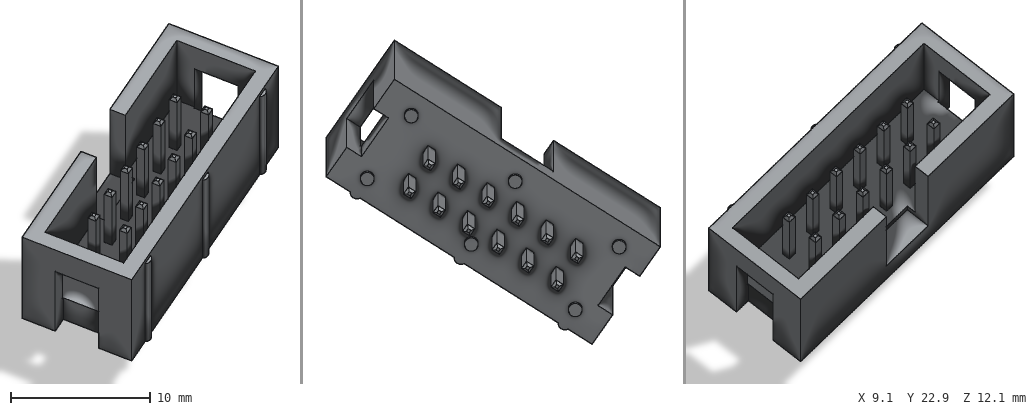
import cadquery as cq


body_width = 8.85
body_length = 22.9
body_height = 8.85
side_wall = 1.25
end_wall = 1.17
floor_top = 2.35

window_width = 3.5
window_height = 6.5
window_notch = 0.1

key_width = 4.5
key_depth = 2.0
key_bottom = 1.85

pin_rows = 6
pin_columns = 2
pin_pitch = 2.54
pin_size = 0.64
pin_top = 7.75
pin_bottom = -3.25
pin_chamfer = 0.2

round_diameter = 1.0
foot_height = 0.3
foot_offset_x = 2.85
round_spacing_y = 8.95
rib_projection = 0.25
rib_height = 8.5

CENTRED_BASE = (True, True, False)
ROUND_ROWS_Y = [-round_spacing_y, 0, round_spacing_y]


def make_housing():
    """Open-topped box with a solid floor."""
    housing = cq.Workplane("XY").box(body_width, body_length, body_height, centered=CENTRED_BASE)
    cavity = (
        cq.Workplane("XY", origin=(0, 0, floor_top))
        .box(
            body_width - 2 * side_wall,
            body_length - 2 * end_wall,
            body_height - floor_top,
            centered=CENTRED_BASE,
        )
    )
    return housing.cut(cavity)


def make_end_window(side):
    """Cutter for the window in the end wall on the given side of Y (-1 or +1)."""
    depth = end_wall + window_notch
    center_y = side * (body_length - depth) / 2
    return (
        cq.Workplane("XY", origin=(0, center_y, 0))
        .box(window_width, depth, window_height, centered=CENTRED_BASE)
    )


def make_key_slot():
    """Cutter for the key slot, open at the top and on the -X face."""
    return (
        cq.Workplane("XY", origin=(-body_width / 2, 0, key_bottom))
        .box(key_depth, key_width, body_height - key_bottom, centered=(False, True, False))
    )


def make_pins():
    """Square pins with chamfered tips at both ends."""
    return (
        cq.Workplane("XY", origin=(0, 0, pin_bottom))
        .rarray(pin_pitch, pin_pitch, pin_columns, pin_rows)
        .rect(pin_size, pin_size)
        .extrude(pin_top - pin_bottom)
        .faces("<Z or >Z")
        .chamfer(pin_chamfer)
    )


def make_feet():
    """Round standoff feet in two columns below the housing."""
    positions = [(x, y) for x in (-foot_offset_x, foot_offset_x) for y in ROUND_ROWS_Y]
    return (
        cq.Workplane("XY")
        .pushPoints(positions)
        .circle(round_diameter / 2)
        .extrude(-foot_height)
    )


def make_crush_ribs():
    """Vertical cylinders partly sunk into the +X wall."""
    center_x = body_width / 2 + rib_projection - round_diameter / 2
    return (
        cq.Workplane("XY")
        .pushPoints([(center_x, y) for y in ROUND_ROWS_Y])
        .circle(round_diameter / 2)
        .extrude(rib_height)
    )


result = make_housing()
for end_side in (-1, 1):
    result = result.cut(make_end_window(end_side))
result = (
    result.cut(make_key_slot())
    .union(make_crush_ribs())
    .union(make_feet())
    .union(make_pins())
)